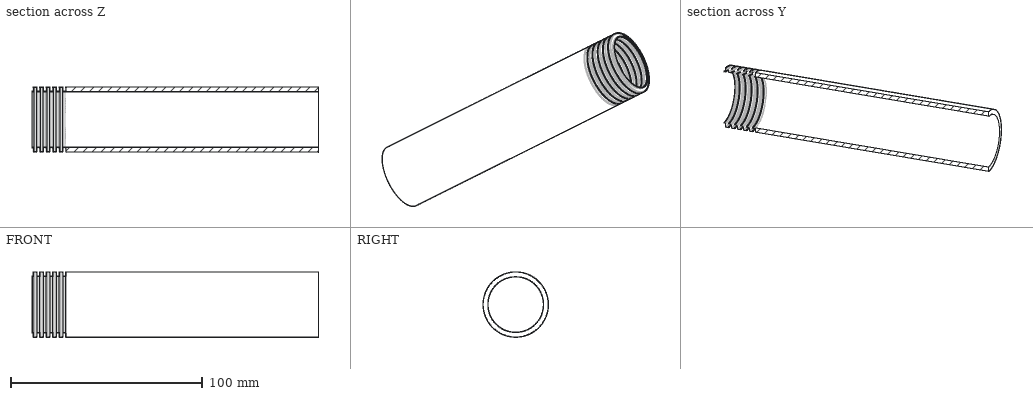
import cadquery as cq

total_length = 150.0
outer_diameter = 34.3
root_diameter = 29.7
wall = 0.4
groove_width = 1.3
end_collar_length = 0.68
crest_count = 5
outside_bend_radius = 0.4
inside_bend_radius = 0.2
tolerance = 1e-3

outer_radius = outer_diameter / 2
root_radius = root_diameter / 2
bore_radius = root_radius - wall
recess_radius = outer_radius - wall
crest_width = groove_width + 2 * wall
pitch = crest_width + groove_width
tube_start = end_collar_length + crest_count * pitch
crest_starts = [end_collar_length + index * pitch for index in range(crest_count)]


def ring(start, end, inner_radius, ring_radius):
    """Round ring about the X axis between two axial positions."""
    outline = cq.Workplane("YZ", origin=(start, 0, 0)).circle(ring_radius).circle(inner_radius)
    return outline.extrude(end - start)


def make_bored_tube():
    """Root-diameter sleeve that carries the thick plain tube behind the bellows."""
    sleeve = ring(0, total_length, bore_radius, root_radius)
    plain_tube = ring(tube_start, total_length, bore_radius, outer_radius)
    return sleeve.union(plain_tube)


def add_crest(body, start):
    """Add one hollow crest: a ring outside and a groove opened from the bore."""
    end = start + crest_width
    crest = ring(start, end, bore_radius, outer_radius)
    inside_groove = cq.Workplane("YZ", origin=(start + wall, 0, 0)).circle(recess_radius)
    return body.union(crest).cut(inside_groove.extrude(end - start - 2 * wall))


def round_bends(body, edge_radius, bend_radius):
    """Round every circular edge of one radius, leaving the two open ends sharp."""

    def is_bend(edge):
        right_radius = abs(edge.radius() - edge_radius) < tolerance
        return right_radius and tolerance < edge.Center().x < total_length - tolerance

    return body.edges("%CIRCLE").filter(is_bend).fillet(bend_radius)


result = make_bored_tube()
for crest_start in crest_starts:
    result = add_crest(result, crest_start)

for convex_radius in (outer_radius, bore_radius):
    result = round_bends(result, convex_radius, outside_bend_radius)
for concave_radius in (root_radius, recess_radius):
    result = round_bends(result, concave_radius, inside_bend_radius)